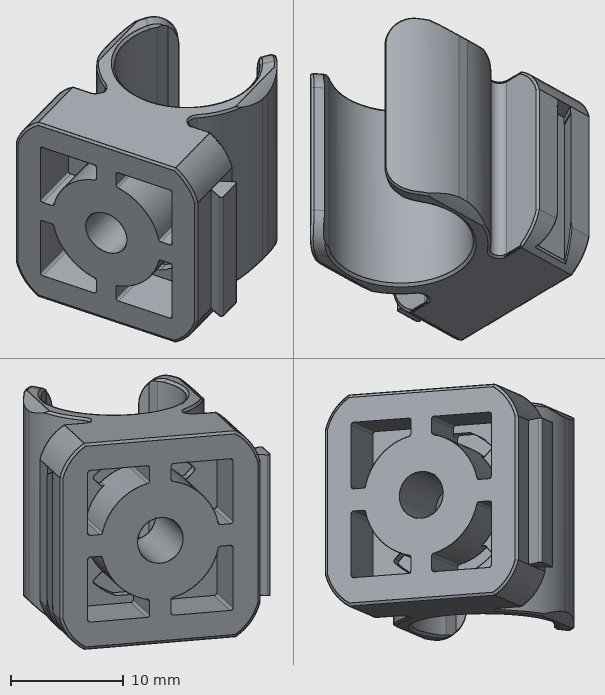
import cadquery as cq
import math

BASE_WIDTH = 18.51
HEIGHT = 19.0
BASE_THICK = 6.4

TOP_FLAT_HALF = 6.99
SIDE_FLAT_HALF = 6.5
CORNER_RADIUS = 5

BORE_RADIUS = 6.45
CLIP_RADIUS = 7.99
TIP_ANGLE = 54.3
FLARE_RADIUS = 6.82
FLARE_START_ANGLE = 36
FLARE_FULL_ANGLE = 46
CLIP_FLAT_HALF = 0.5
TIP_FILLET = 2.87
NECK_FILLET = 0.85

EDGE_LONG = 0.25
EDGE_SHORT = 0.15

HOLE_RADIUS = 2.1
POCKET_HALF_X = 6.72
POCKET_HALF_Z = 6.99
POCKET_DEPTH = 5
RIB_HALF = 1.0
BOSS_RADIUS = 5.47
POCKET_FILLET = 0.25

CORE_RADIUS = 6.78
CORE_TOP = 6.26
CORE_DEPTH = 6.0
CORE_END_ANGLE = 45

RAIL_REACH = 1.5
RAIL_ROOT = 1.44
RAIL_TIP = 2.93
RAIL_FILLET = 0.2
GROOVE_CLEARANCE = 0.1
GROOVE_TIGHTENING = 0.06
GROOVE_EXTRA_DEPTH = 0.15
GROOVE_TIGHT_LENGTH = 0.7
GROOVE_ENTRY_CHAMFER = 0.15

MARGIN = 0.2
TOLERANCE = 0.002

half_width = BASE_WIDTH / 2
half_height = HEIGHT / 2
clip_y = BASE_THICK + CLIP_RADIUS
rail_y = BASE_THICK / 2


def clip_point(radius, angle):
    """X-Y point around the clip axis, the angle in degrees from +X."""
    turn = math.radians(angle)
    return (radius * math.cos(turn), clip_y + radius * math.sin(turn))


def mirrored(point):
    """The point reflected to the other side of the Y axis."""
    return (-point[0], point[1])


tip_outer = clip_point(CLIP_RADIUS, TIP_ANGLE)
tip_inner = clip_point(FLARE_RADIUS, TIP_ANGLE)


def clip_profile():
    """X-Y outline of the open clip, its neck and a root inside the base, extruded over the height."""
    neck_y = BASE_THICK + NECK_FILLET
    neck_x = math.sqrt((CLIP_RADIUS + NECK_FILLET) ** 2 - (clip_y - neck_y) ** 2)
    neck_angle = math.degrees(math.atan2(neck_y - clip_y, neck_x))
    foot = (neck_x, BASE_THICK)
    waist = (neck_x - NECK_FILLET, neck_y)
    shoulder = clip_point(CLIP_RADIUS, neck_angle)
    flat_angle = math.degrees(math.asin(CLIP_FLAT_HALF / CLIP_RADIUS))
    lower_arc_mid = clip_point(CLIP_RADIUS, (neck_angle - flat_angle) / 2)
    flat_bottom = clip_point(CLIP_RADIUS, -flat_angle)
    flat_top = clip_point(CLIP_RADIUS, flat_angle)
    upper_arc_mid = clip_point(CLIP_RADIUS, (flat_angle + TIP_ANGLE) / 2)
    flare_start = clip_point(BORE_RADIUS, FLARE_START_ANGLE)
    flare_full = clip_point(FLARE_RADIUS, FLARE_FULL_ANGLE)
    flare_mid = clip_point(FLARE_RADIUS, (FLARE_FULL_ANGLE + TIP_ANGLE) / 2)
    bore_bottom = clip_point(BORE_RADIUS, -90)
    return (
        cq.Workplane("XY", origin=(0, 0, -half_height))
        .moveTo(-TOP_FLAT_HALF, rail_y)
        .lineTo(TOP_FLAT_HALF, rail_y)
        .lineTo(TOP_FLAT_HALF, BASE_THICK)
        .lineTo(*foot)
        .threePointArc(waist, shoulder)
        .threePointArc(lower_arc_mid, flat_bottom)
        .lineTo(*flat_top)
        .threePointArc(upper_arc_mid, tip_outer)
        .lineTo(*tip_inner)
        .threePointArc(flare_mid, flare_full)
        .lineTo(*flare_start)
        .threePointArc(bore_bottom, mirrored(flare_start))
        .lineTo(*mirrored(flare_full))
        .threePointArc(mirrored(flare_mid), mirrored(tip_inner))
        .lineTo(*mirrored(tip_outer))
        .threePointArc(mirrored(upper_arc_mid), mirrored(flat_top))
        .lineTo(*mirrored(flat_bottom))
        .threePointArc(mirrored(lower_arc_mid), mirrored(shoulder))
        .threePointArc(mirrored(waist), mirrored(foot))
        .lineTo(-TOP_FLAT_HALF, BASE_THICK)
        .close()
        .extrude(HEIGHT)
    )


def corner_outline(y):
    """X-Z outline with arched corners, lying at the given Y."""
    chord_x = half_width - TOP_FLAT_HALF
    chord_z = half_height - SIDE_FLAT_HALF
    chord = math.hypot(chord_x, chord_z)
    rise = CORNER_RADIUS - math.sqrt(CORNER_RADIUS ** 2 - (chord / 2) ** 2)
    mid_x = (half_width + TOP_FLAT_HALF) / 2 + rise * chord_z / chord
    mid_z = (half_height + SIDE_FLAT_HALF) / 2 + rise * chord_x / chord
    return (
        cq.Workplane("XZ", origin=(0, y, 0))
        .moveTo(-TOP_FLAT_HALF, half_height)
        .lineTo(TOP_FLAT_HALF, half_height)
        .threePointArc((mid_x, mid_z), (half_width, SIDE_FLAT_HALF))
        .lineTo(half_width, -SIDE_FLAT_HALF)
        .threePointArc((mid_x, -mid_z), (TOP_FLAT_HALF, -half_height))
        .lineTo(-TOP_FLAT_HALF, -half_height)
        .threePointArc((-mid_x, -mid_z), (-half_width, -SIDE_FLAT_HALF))
        .lineTo(-half_width, SIDE_FLAT_HALF)
        .threePointArc((-mid_x, mid_z), (-TOP_FLAT_HALF, half_height))
        .close()
    )


def base_block():
    """Base whose front and back edges slope in."""
    back_y = BASE_THICK - EDGE_SHORT
    slope = math.degrees(math.atan2(EDGE_LONG, EDGE_SHORT))
    middle = corner_outline(EDGE_SHORT).extrude(EDGE_SHORT - back_y)
    front = corner_outline(EDGE_SHORT).extrude(EDGE_SHORT, taper=slope)
    back = corner_outline(back_y).extrude(-EDGE_SHORT, taper=slope)
    return middle.union(front).union(back)


def on_end_faces(edge):
    """True for an edge lying wholly in the flat top or bottom face."""
    return math.isclose(abs(edge.Center().z), half_height, abs_tol=TOLERANCE)


def round_tips(body):
    """Round the top and bottom corners of both clip tips."""
    tip_x = (tip_outer[0] + tip_inner[0]) / 2
    tip_y = (tip_outer[1] + tip_inner[1]) / 2
    around_tips = cq.selectors.BoxSelector(
        (-tip_x - MARGIN, tip_y - MARGIN, -HEIGHT),
        (tip_x + MARGIN, tip_y + MARGIN, HEIGHT),
    )
    corners = [e for e in body.edges(around_tips).vals() if on_end_faces(e)]
    return body.newObject(corners).fillet(TIP_FILLET)


def break_clip_edges(body):
    """Chamfer the bore rim, then the neck and the outer rim where they meet the flat ends."""
    end_arcs = [e for e in body.edges().vals() if on_end_faces(e) and e.geomType() == "CIRCLE"]
    bore_rim = [e for e in end_arcs if abs(e.Center().x) < TOLERANCE]
    outer_rim = [e for e in end_arcs if abs(e.Center().x) > TOLERANCE]
    body = body.newObject(bore_rim).chamfer(EDGE_LONG)
    return body.newObject(outer_rim).chamfer(EDGE_LONG, EDGE_SHORT)


def spring_clip():
    """Clip trimmed to the arched corners, with rounded tips and broken edges."""
    trimmed = clip_profile().intersect(corner_outline(0).extrude(-2 * clip_y))
    return break_clip_edges(round_tips(trimmed))


def quadrant_pocket():
    """Pocket in the +X +Z quadrant: a box outside the boss, with a deeper arc along the boss."""
    size_x = POCKET_HALF_X - RIB_HALF
    size_z = POCKET_HALF_Z - RIB_HALF
    boss = cq.Workplane("XZ").circle(BOSS_RADIUS).extrude(-BASE_THICK)
    pocket = (
        cq.Workplane("XZ", origin=(RIB_HALF + size_x / 2, 0, RIB_HALF + size_z / 2))
        .rect(size_x, size_z)
        .extrude(-POCKET_DEPTH)
        .cut(boss)
        .edges("|Y")
        .fillet(POCKET_FILLET)
    )
    end = math.radians(CORE_END_ANGLE)
    sector = (
        cq.Workplane("XZ")
        .moveTo(RIB_HALF, RIB_HALF)
        .lineTo(RIB_HALF, CORE_TOP)
        .lineTo(CORE_TOP / math.tan(end), CORE_TOP)
        .close()
        .extrude(-CORE_DEPTH)
    )
    core = (
        cq.Workplane("XZ")
        .circle(CORE_RADIUS)
        .extrude(-CORE_DEPTH)
        .cut(boss)
        .intersect(sector)
        .edges("|Y")
        .fillet(POCKET_FILLET)
    )
    return pocket.union(core)


def dovetail(x, z, mouth, widest, depth):
    """X-Y section at height z, its narrow mouth at x and its wide end at x + depth."""
    return (
        cq.Workplane("XY", origin=(x, rail_y, z))
        .moveTo(0, -mouth / 2)
        .lineTo(depth, -widest / 2)
        .lineTo(depth, widest / 2)
        .lineTo(0, mouth / 2)
        .close()
    )


def rail():
    """Dovetail rail along the flat of the +X side."""
    return (
        dovetail(half_width, -SIDE_FLAT_HALF, RAIL_ROOT, RAIL_TIP, RAIL_REACH)
        .extrude(2 * SIDE_FLAT_HALF)
        .edges("|Z and >X")
        .fillet(RAIL_FILLET)
    )


def groove():
    """Dovetail groove in the -X side: open below and tight at its closed top."""
    depth = RAIL_REACH + GROOVE_EXTRA_DEPTH
    mouth = RAIL_ROOT + 2 * GROOVE_CLEARANCE
    widest = mouth + (RAIL_TIP - RAIL_ROOT) * depth / RAIL_REACH
    tight = 2 * GROOVE_TIGHTENING
    tight_start = SIDE_FLAT_HALF - GROOVE_TIGHT_LENGTH
    tight_section = dovetail(-half_width, tight_start, mouth - tight, widest - tight, depth)
    main_section = dovetail(-half_width, -half_height, mouth, widest, depth)
    tight_end = tight_section.extrude(GROOVE_TIGHT_LENGTH)
    return main_section.extrude(half_height + tight_start).union(tight_end)


def break_groove_entry(body):
    """Chamfer the groove where it runs out through the rounded lower corner."""
    entry = cq.selectors.BoxSelector(
        (-half_width, EDGE_SHORT + MARGIN, -half_height + MARGIN),
        (-TOP_FLAT_HALF, BASE_THICK - EDGE_SHORT - MARGIN, -SIDE_FLAT_HALF - MARGIN),
    )
    return body.edges(entry).chamfer(GROOVE_ENTRY_CHAMFER)


def screw_hole():
    """Hole along Y from the front face into the clip bore."""
    return cq.Workplane("XZ").circle(HOLE_RADIUS).extrude(-clip_y)


result = base_block().union(spring_clip()).union(rail()).cut(groove())
result = break_groove_entry(result)
pocket = quadrant_pocket()
for side_pocket in (pocket, pocket.mirror("YZ")):
    result = result.cut(side_pocket).cut(side_pocket.mirror("XY"))
result = result.cut(screw_hole())